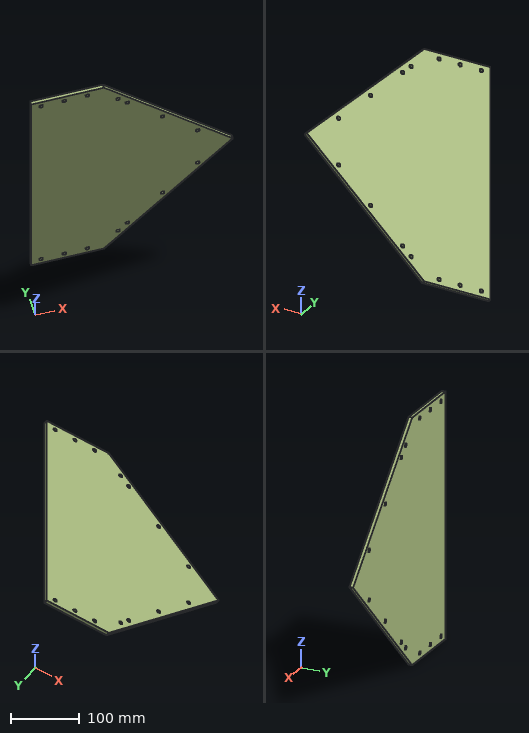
import cadquery as cq
import math

height = 389.3
thickness = 6.0
straight_edge = 110.0
half_height = height / 2
tip_x = straight_edge + half_height

hole_diameter = 5.5
edge_inset = 10.0
straight_hole_positions = [15.0, 50.0, 85.0]
slant_hole_positions = [40.0, 60.0, 135.0, 210.0]


def make_plate():
    """Five-sided plate from Y = 0 to Y = thickness, centred on Z = 0."""
    outline = [
        (0, -half_height),
        (straight_edge, -half_height),
        (tip_x, 0),
        (straight_edge, half_height),
        (0, half_height),
    ]
    return cq.Workplane("XZ").polyline(outline).close().extrude(-thickness)


def upper_hole_centers():
    """(X, Z) hole centres of the upper half, all at the same inset from their edge."""
    centers = [(x, half_height - edge_inset) for x in straight_hole_positions]
    for distance in slant_hole_positions:
        x = straight_edge + (distance - edge_inset) / math.sqrt(2)
        z = half_height - (distance + edge_inset) / math.sqrt(2)
        centers.append((x, z))
    return centers


def make_holes():
    """Through-hole cutters for both halves, mirrored about Z = 0."""
    upper = upper_hole_centers()
    lower = [(x, -z) for x, z in upper]
    return cq.Workplane("XZ").pushPoints(upper + lower).circle(hole_diameter / 2).extrude(-thickness)


result = make_plate().cut(make_holes())